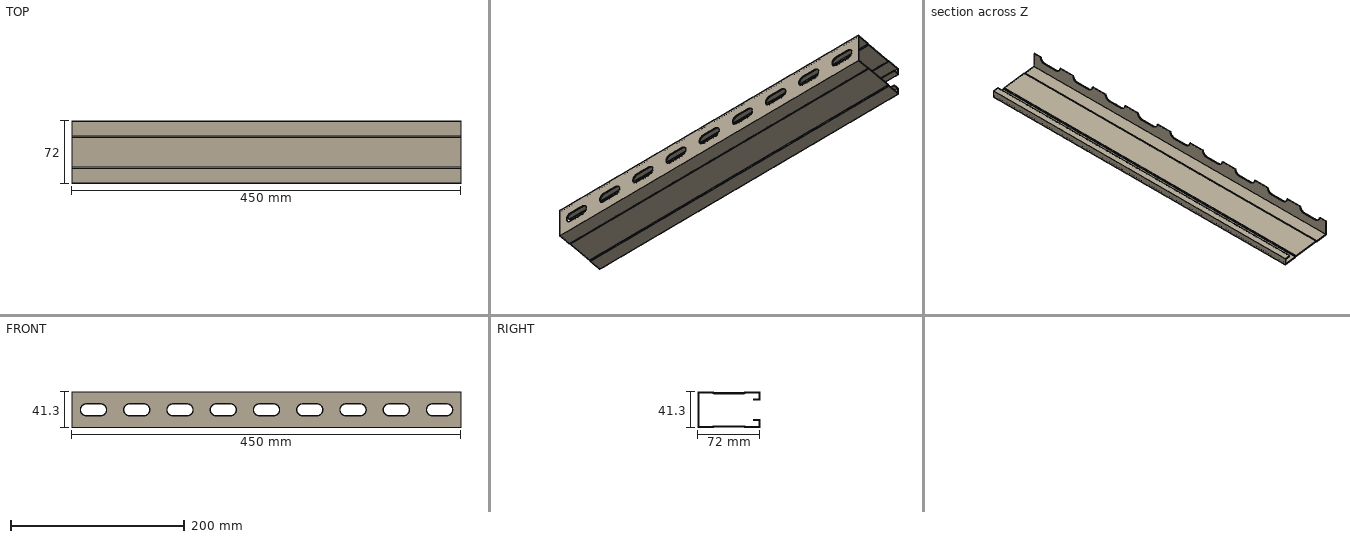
import math

import cadquery as cq

length = 450.0
width = 72.01
height = 41.3
thickness = 1.5

lip_height = 9.5
lip_return = 7.5

recess_margin = 17.0
recess_depth = 0.7
recess_slope_angle = 22.0

slot_length = 30.0
slot_width = 13.5
slot_pitch = 50.0
slot_count = 9

half_width = width / 2
half_height = height / 2


def flange_outline(inset):
    """Upper flange face from -Y to +Y, dropped by inset and shortened by it at both ends."""
    slope = math.radians(recess_slope_angle)
    recess_edge = half_width - recess_margin
    recess_floor_edge = recess_edge - recess_depth / math.tan(slope)
    flange_z = half_height - inset
    floor_z = flange_z - recess_depth
    end = half_width - inset
    return [
        (-end, flange_z),
        (-recess_edge, flange_z),
        (-recess_floor_edge, floor_z),
        (recess_floor_edge, floor_z),
        (recess_edge, flange_z),
        (end, flange_z),
    ]


def upper_half_outline():
    """Closed (Y, Z) outline of the half section above the mid-plane."""
    lip_bottom = half_height - lip_height
    lip_inner = lip_bottom + thickness
    lip_tip = half_width - lip_return
    outer = flange_outline(0)
    inner = flange_outline(thickness)
    lip = [
        (half_width, lip_bottom),
        (lip_tip, lip_bottom),
        (lip_tip, lip_inner),
        (half_width - thickness, lip_inner),
    ]
    web_foot = [(-half_width + thickness, 0), (-half_width, 0)]
    return outer + lip + inner[::-1] + web_foot


def channel():
    """Lipped channel running along X, centred on the origin."""
    upper = cq.Workplane("YZ").polyline(upper_half_outline()).close().extrude(length / 2, both=True)
    return upper.union(upper.mirror("XY")).clean()


def web_slots():
    """Row of evenly spaced obround cutters that pass through the web only."""
    return (
        cq.Workplane("XZ", origin=(0, -half_width + thickness, 0))
        .rarray(slot_pitch, 1, slot_count, 1)
        .slot2D(slot_length, slot_width)
        .extrude(thickness)
    )


result = channel().cut(web_slots())